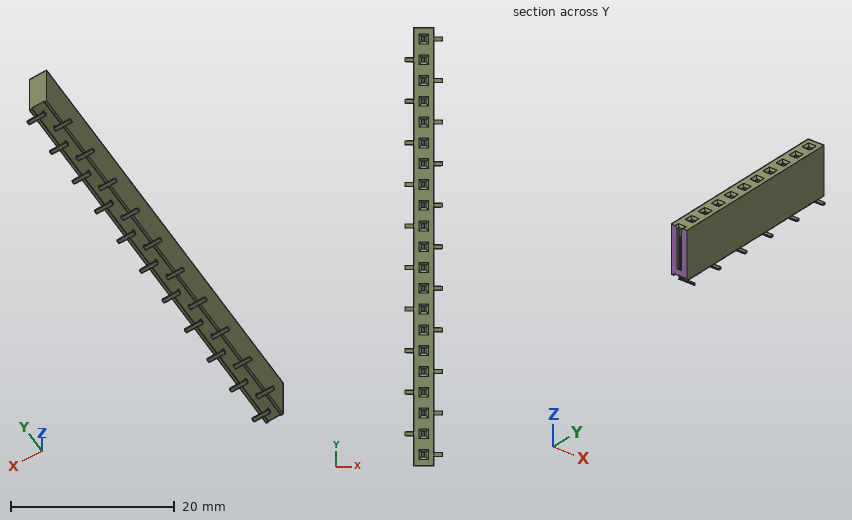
import cadquery as cq


PIN_COUNT = 21
PITCH = 2.54

TOTAL_HEIGHT = 7.4
BODY_WIDTH = 2.5
END_MARGIN = 1.37
BODY_BOTTOM = 0.28
CHANNEL_WIDTH = 1.8
CHANNEL_DEPTH = 0.2

MOUTH_SIZE = 1.2
MOUTH_DEPTH = 0.3
SOCKET_SIZE = 0.6
SOCKET_FLOOR = 1.4

LEAD_SPAN = 4.64
LEAD_THICKNESS = 0.2
LEAD_WIDTH = 0.52
LEAD_TIP_WIDTH = 0.46
LEAD_TIP_LENGTH = 0.3
STEM_THICKNESS = 0.2
STEM_WIDTH = 0.5
STEM_TOP = 6.0

ROW_LENGTH = PITCH * (PIN_COUNT - 1)
BODY_LENGTH = ROW_LENGTH + 2 * END_MARGIN
CHANNEL_TOP = BODY_BOTTOM + CHANNEL_DEPTH
MOUTH_BOTTOM = TOTAL_HEIGHT - MOUTH_DEPTH


def box(size_x, size_y, bottom, top):
    """Box centred on the Z axis, between two heights."""
    return cq.Workplane("XY").workplane(offset=bottom).rect(size_x, size_y).extrude(top - bottom)


def make_housing():
    """Plain block with a shallow channel along the whole underside."""
    block = box(BODY_WIDTH, BODY_LENGTH, BODY_BOTTOM, TOTAL_HEIGHT)
    channel = box(CHANNEL_WIDTH, BODY_LENGTH, BODY_BOTTOM, CHANNEL_TOP)
    return block.cut(channel)


def make_socket():
    """Cutter for a square blind hole with a tapered mouth."""
    mouth = (
        cq.Workplane("XY")
        .workplane(offset=TOTAL_HEIGHT)
        .rect(MOUTH_SIZE, MOUTH_SIZE)
        .workplane(offset=-MOUTH_DEPTH)
        .rect(SOCKET_SIZE, SOCKET_SIZE)
        .loft(ruled=True)
    )
    hole = box(SOCKET_SIZE, SOCKET_SIZE, SOCKET_FLOOR, MOUTH_BOTTOM)
    return mouth.union(hole)


def make_contact():
    """Upright flat stem with a lead that points to +X and narrows at its tip."""
    tip_x = LEAD_SPAN / 2
    shoulder_x = tip_x - LEAD_TIP_LENGTH
    root_x = -STEM_THICKNESS / 2
    lead = (
        cq.Workplane("XY")
        .moveTo(root_x, -LEAD_WIDTH / 2)
        .lineTo(shoulder_x, -LEAD_WIDTH / 2)
        .lineTo(tip_x, -LEAD_TIP_WIDTH / 2)
        .lineTo(tip_x, LEAD_TIP_WIDTH / 2)
        .lineTo(shoulder_x, LEAD_WIDTH / 2)
        .lineTo(root_x, LEAD_WIDTH / 2)
        .close()
        .extrude(LEAD_THICKNESS)
    )
    stem = box(STEM_THICKNESS, STEM_WIDTH, 0, STEM_TOP)
    return lead.union(stem)


socket = make_socket()
contact = make_contact()
opposite_contact = contact.rotate((0, 0, 0), (0, 0, 1), 180)

strip = make_housing()
for index in range(PIN_COUNT):
    position = (0, index * PITCH - ROW_LENGTH / 2, 0)
    pin = contact if index % 2 == 0 else opposite_contact
    strip = strip.cut(socket.translate(position)).union(pin.translate(position))

result = strip